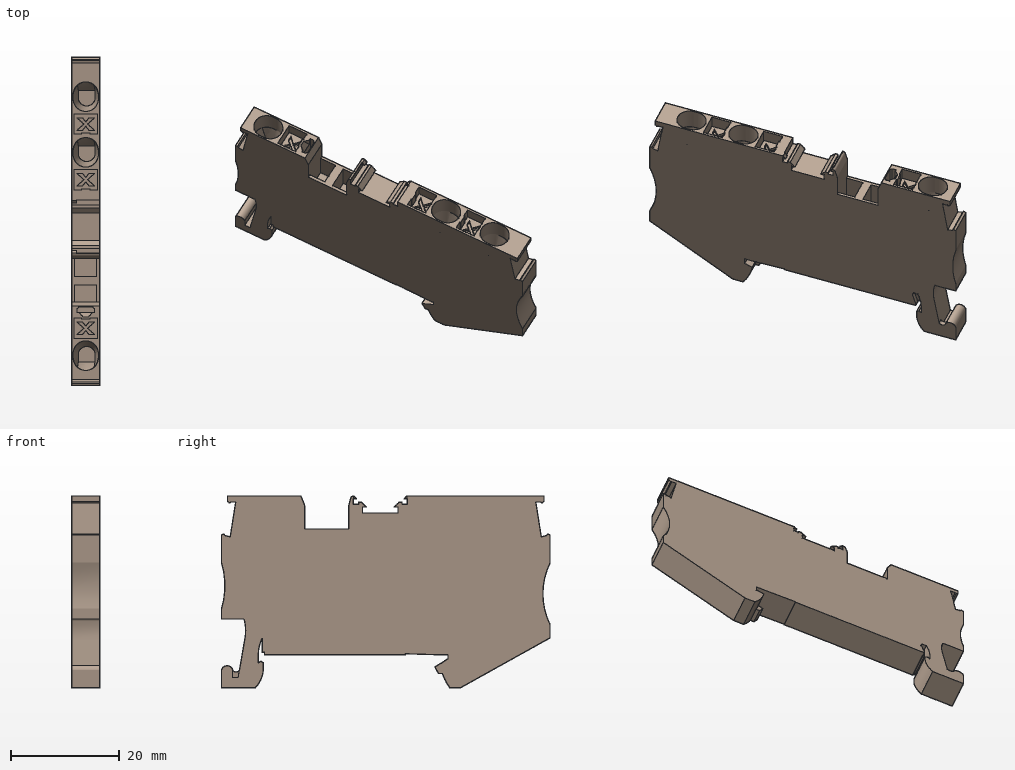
import cadquery as cq

THICKNESS = 5.15
LENGTH = 60.4
HEIGHT = 35.25
HALF_LENGTH = LENGTH / 2
NEAR_FACE = -THICKNESS / 2
SKIN = 0.9

LIP_END = 29.1
LIP_NIB = 28.7
LIP_INNER = 28.5
LIP_SIDE_BOTTOM = HEIGHT - 1.0
LIP_NIB_BOTTOM = HEIGHT - 1.3
LIP_BOTTOM = HEIGHT - 1.15
NECK_TOP = 27.6
NECK_BOTTOM = 28.6
SHOULDER_BOTTOM = 27.75
SHOULDER_GROOVE_END = 29.55
SHOULDER_GROOVE_TOP = 28.0
SHOULDER_NIB = 29.75
SHOULDER_NIB_TOP = 28.3
SHOULDER_END = 28.1

BACK_GRIP_TOP = 22.9
BACK_GRIP_BOTTOM = 11.65
BACK_GRIP_DEPTH = 1.3
FRONT_GRIP_TOP = 23.0
FRONT_GRIP_BOTTOM = 14.5
FRONT_GRIP_DEPTH = 0.62

CARRIER_CENTER = -1.0
CARRIER_FLOOR = 32.12
CARRIER_HALF = 3.25
LOWER_TIP = 2.53
LOWER_TIP_Z = 33.2
CREST_INNER = 3.45
CREST_Z = 34.1
GROOVE_INNER = 4.0
GROOVE_OUTER = 4.95
GROOVE_FLOOR = 33.75
UPPER_TIP = 4.35
UPPER_TIP_Z = 34.7
HOOK_TOP = 4.85

CHANNEL_BACK = -6.84
CHANNEL_FRONT = -14.86
CHANNEL_FLOOR = 29.2
CHANNEL_FLARE_Z = 33.45
CHANNEL_FLARE = 0.7
POST_ROUND_Y = -6.2
POST_ROUND_Z = 35.17
POST_SLOPE_Y = -6.42
POST_SLOPE_Z = 34.95

BACK_CORNER_Z = 9.15
FOOT_BACK = 13.76
FOOT_FRONT = 11.76
FOOT_MID_Y = 10.4
FOOT_MID_Z = 2.6
FOOT_NOSE_Y = 9.97
FOOT_NOSE_Z = 4.4
RAIL_STOP = 11.43
RAIL_STOP_BOTTOM = 4.9
RAIL_SEAT = 6.05
RELIEF_BACK = 9.5
RELIEF_FRONT = 3.6
RELIEF_RISE = 0.18
SEAT_FRONT = -22.3
SEAT_CHAMFER_Z = 6.5

SLOT_TOP = 9.1
SLOT_WALL = -22.7
SLOT_POCKET_Y = -21.65
SLOT_POCKET_Z = 8.65
SLOT_POCKET_CORNER = 0.2
LEG_INNER = -23.4
LEG_INNER_MID_Y = -23.2
LEG_INNER_MID_Z = 7.7
LEG_INNER_Z = 6.3
CLAW_TOP = 4.6
CLAW_NIB_Y = -22.95
CLAW_NIB_Z = 4.9
CLAW_TIP = -22.47
CLAW_SIDE_Z = 3.3
CLAW_MID_Y = -22.85
CLAW_MID_Z = 1.7
CLAW_BOTTOM = -23.97

LEVER_END_Z = 3.25
LEVER_MID_Z = 3.5
LEVER_CREST_Y = -29.35
LEVER_CREST_Z = 4.05
LEVER_VALLEY_FRONT = -28.2
LEVER_VALLEY_Y = -27.45
LEVER_VALLEY_Z = 2.92
LEVER_GROOVE_DEPTH = 1.0
LEG_FOOT_Y = -26.9
LEG_OUTER_Y = -25.95
LEG_OUTER_Z = 8.75
LEG_WAIST_Y = -25.77
LEG_WAIST_Z = 10.6
LEG_ROOT_Y = -26.1
FRONT_UNDERSIDE = 12.6
LEG_ROOT_DROP = 0.25

NOSE_TOP = 5.35
NOSE_TIP_Y = 9.02
NOSE_TIP_Z = 3.83
NOSE_BOTTOM_Y = 9.68

OPENING_PITCH = 10.22
BACK_ENTRY = 22.91
FRONT_ENTRY = -24.68
ENTRY_WIDTH = 4.64
ENTRY_LENGTH = 5.42
ENTRY_SHAFT_DEPTH = 4.0
ENTRY_FUNNEL_DEPTH = 3.5
ENTRY_FLOOR_WIDTH = 3.06
ENTRY_FLOOR_X = 0.17
ENTRY_FLOOR_OUTER = 1.17
ENTRY_FLOOR_SIDE = -0.5
ENTRY_FLOOR_INNER = -1.7

RELEASE_OFFSET = 5.03
RELEASE_WIDTH = 4.3
RELEASE_LENGTH = 3.72
RELEASE_DEPTH = 2.35
RELEASE_RIB_WIDTH = 1.5
RELEASE_RIB = 0.18
CROSS_HALF_WIDTH = 1.6
CROSS_HALF_LENGTH = 1.15
CROSS_ARM = 1.0
CROSS_WAIST_X = 0.35
CROSS_WAIST_Y = 0.4
CROSS_DEPTH = 0.5

BRIDGE_WIDTH = 4.06
BRIDGE_X = -0.04
BACK_BRIDGE_LENGTH = 3.25
FRONT_BRIDGE_LENGTH = 3.15
BRIDGE_DEPTH = 5.0

TEST_BACK = -15.7
TEST_SHOULDER = -16.75
TEST_FRONT = -17.55
TEST_HALF_WIDTH = 1.58
TEST_TIP_HALF_WIDTH = 0.5
TEST_CORNER = 0.35
TEST_DEPTH = 4.0
TEST_RAMP_DEPTH = 1.5


def end_wall_points(side):
    """Lip, neck and shoulder of one end, from the top down; side is +1 or -1 in Y."""
    points = [
        (LIP_END, HEIGHT),
        (LIP_END, LIP_SIDE_BOTTOM),
        (LIP_NIB, LIP_NIB_BOTTOM),
        (LIP_INNER, LIP_BOTTOM),
        (NECK_TOP, LIP_BOTTOM),
        (NECK_BOTTOM, SHOULDER_BOTTOM),
        (SHOULDER_GROOVE_END, SHOULDER_GROOVE_TOP),
        (SHOULDER_NIB, SHOULDER_NIB_TOP),
        (HALF_LENGTH, SHOULDER_END),
    ]
    return [(side * y, z) for y, z in points]


def hook_points(side):
    """One marker hook from its upper tip down to the recess floor; side is +1 or -1 in Y."""
    points = [
        (HOOK_TOP, HEIGHT),
        (UPPER_TIP, UPPER_TIP_Z),
        (GROOVE_OUTER, UPPER_TIP_Z),
        (GROOVE_OUTER, GROOVE_FLOOR),
        (GROOVE_INNER, GROOVE_FLOOR),
        (GROOVE_INNER, CREST_Z),
        (CREST_INNER, CREST_Z),
        (LOWER_TIP, LOWER_TIP_Z),
        (CARRIER_HALF, LOWER_TIP_Z),
        (CARRIER_HALF, CARRIER_FLOOR),
    ]
    return [(CARRIER_CENTER + side * y, z) for y, z in points]


def trace(path, points):
    """Continue an outline with straight lines through the points."""
    for point in points:
        path = path.lineTo(*point)
    return path


def prism(points, x_start, x_end):
    """Solid between two X positions from a closed polygon of (y, z) points."""
    plane = cq.Workplane("YZ").workplane(offset=x_start)
    return plane.polyline(points).close().extrude(x_end - x_start)


def trace_top(path):
    """Top edge from the back lip to the front lip: marker carrier and bridge channel."""
    path = trace(path, hook_points(1))
    path = trace(path, hook_points(-1)[::-1])
    path = path.threePointArc((POST_ROUND_Y, POST_ROUND_Z), (POST_SLOPE_Y, POST_SLOPE_Z))
    return trace(path, [
        (CHANNEL_BACK, CHANNEL_FLARE_Z),
        (CHANNEL_BACK, CHANNEL_FLOOR),
        (CHANNEL_FRONT, CHANNEL_FLOOR),
        (CHANNEL_FRONT, CHANNEL_FLARE_Z),
        (CHANNEL_FRONT - CHANNEL_FLARE, HEIGHT),
    ])


def trace_front(path):
    """Front end wall down to the underside above the leg."""
    path = trace(path, end_wall_points(-1))
    path = path.lineTo(-HALF_LENGTH, FRONT_GRIP_TOP)
    grip_middle = (FRONT_GRIP_TOP + FRONT_GRIP_BOTTOM) / 2
    path = path.threePointArc((FRONT_GRIP_DEPTH - HALF_LENGTH, grip_middle),
                              (-HALF_LENGTH, FRONT_GRIP_BOTTOM))
    return path.lineTo(-HALF_LENGTH, FRONT_UNDERSIDE)


def trace_leg(path):
    """Springy leg with its release lever and claw, up to the slot beside the rail seat."""
    path = path.lineTo(LEG_ROOT_Y, FRONT_UNDERSIDE)
    path = path.lineTo(LEG_ROOT_Y + LEG_ROOT_DROP / 2, FRONT_UNDERSIDE - LEG_ROOT_DROP)
    path = path.threePointArc((LEG_WAIST_Y, LEG_WAIST_Z), (LEG_OUTER_Y, LEG_OUTER_Z))
    path = path.lineTo(LEG_FOOT_Y, LEVER_END_Z)
    path = path.threePointArc((LEVER_VALLEY_Y, LEVER_VALLEY_Z), (LEVER_VALLEY_FRONT, LEVER_MID_Z))
    path = path.threePointArc((LEVER_CREST_Y, LEVER_CREST_Z), (-HALF_LENGTH, LEVER_END_Z))
    path = trace(path, [(-HALF_LENGTH, 0), (CLAW_BOTTOM, 0)])
    path = path.threePointArc((CLAW_MID_Y, CLAW_MID_Z), (CLAW_TIP, CLAW_SIDE_Z))
    path = trace(path, [
        (CLAW_TIP, CLAW_TOP),
        (CLAW_NIB_Y, CLAW_NIB_Z),
        (LEG_INNER, CLAW_TOP),
        (LEG_INNER, LEG_INNER_Z),
    ])
    return path.threePointArc((LEG_INNER_MID_Y, LEG_INNER_MID_Z), (SLOT_WALL, SLOT_TOP))


def trace_rail_side(path):
    """Rail seat with its shallow relief, then the fixed foot and the sloped underside."""
    path = trace(path, [
        (SLOT_WALL, SEAT_CHAMFER_Z),
        (SEAT_FRONT, SEAT_CHAMFER_Z),
        (SEAT_FRONT, RAIL_SEAT),
        (RELIEF_FRONT, RAIL_SEAT),
        (RELIEF_FRONT, RAIL_SEAT + RELIEF_RISE),
        (RELIEF_BACK, RAIL_SEAT),
        (RAIL_STOP, RAIL_SEAT),
        (RAIL_STOP, RAIL_STOP_BOTTOM),
        (FOOT_NOSE_Y, FOOT_NOSE_Z),
    ])
    path = path.threePointArc((FOOT_MID_Y, FOOT_MID_Z), (FOOT_FRONT, 0))
    return trace(path, [(FOOT_BACK, 0), (HALF_LENGTH, BACK_CORNER_Z)])


def trace_back(path):
    """Back end wall up to the shoulder."""
    path = path.lineTo(HALF_LENGTH, BACK_GRIP_BOTTOM)
    grip_middle = (BACK_GRIP_TOP + BACK_GRIP_BOTTOM) / 2
    path = path.threePointArc((HALF_LENGTH - BACK_GRIP_DEPTH, grip_middle),
                              (HALF_LENGTH, BACK_GRIP_TOP))
    return trace(path, end_wall_points(1)[:0:-1])


def make_body():
    """Full-thickness body."""
    path = cq.Workplane("YZ").workplane(offset=NEAR_FACE).moveTo(LIP_END, HEIGHT)
    for section in (trace_top, trace_front, trace_leg, trace_rail_side, trace_back):
        path = section(path)
    return path.close().extrude(THICKNESS)


def foot_nose():
    """Rail hook on the +X half of the foot."""
    points = [
        (RAIL_STOP, NOSE_TOP),
        (NOSE_TIP_Y, NOSE_TIP_Z),
        (NOSE_BOTTOM_Y, FOOT_MID_Z),
        (FOOT_BACK, FOOT_MID_Z),
        (FOOT_BACK, NOSE_TOP),
    ]
    return prism(points, 0, -NEAR_FACE)


def lever_groove():
    """Deeper part of the lever valley, its back wall continuing the leg face."""
    bottom = LEVER_VALLEY_Z - LEVER_GROOVE_DEPTH
    leg_lean = (LEG_OUTER_Y - LEG_FOOT_Y) / (LEG_OUTER_Z - LEVER_END_Z)
    bottom_y = LEG_FOOT_Y - leg_lean * (LEVER_END_Z - bottom)
    points = [
        (LEG_FOOT_Y, LEVER_END_Z),
        (LEVER_VALLEY_FRONT, LEVER_MID_Z),
        (LEVER_VALLEY_FRONT, bottom),
        (bottom_y, bottom),
    ]
    return prism(points, NEAR_FACE + SKIN, -NEAR_FACE)


def slot_pocket():
    """Shallow widening of the leg slot at the -X face."""
    points = [
        (SLOT_WALL, SLOT_TOP),
        (SLOT_POCKET_Y - SLOT_POCKET_CORNER, SLOT_TOP),
        (SLOT_POCKET_Y, SLOT_POCKET_Z),
        (SEAT_FRONT, SEAT_CHAMFER_Z),
        (SLOT_WALL, SEAT_CHAMFER_Z),
    ]
    return prism(points, NEAR_FACE, NEAR_FACE + SKIN)


def hook_relief(side):
    """Cut that leaves one upper hook tip standing only next to the -X face."""
    tip = CARRIER_CENTER + side * UPPER_TIP
    root = CARRIER_CENTER + side * GROOVE_OUTER
    points = [(tip, UPPER_TIP_Z), (root, UPPER_TIP_Z), (root, HEIGHT), (tip, HEIGHT)]
    return prism(points, NEAR_FACE + SKIN, -NEAR_FACE)


def wire_entry(center, side):
    """Oval shaft ending in a funnel to a D-shaped floor; side points to the nearer end."""
    half_width = ENTRY_WIDTH / 2
    straight = ENTRY_LENGTH / 2 - half_width
    shaft_bottom = HEIGHT - ENTRY_SHAFT_DEPTH
    floor_half = ENTRY_FLOOR_WIDTH / 2
    split_x = floor_half
    split_y = straight + (half_width ** 2 - split_x ** 2) ** 0.5

    def at(offset):
        return center + side * offset

    shaft = cq.Workplane("XY", origin=(0, center, shaft_bottom))
    shaft = shaft.slot2D(ENTRY_LENGTH, ENTRY_WIDTH, 90).extrude(ENTRY_SHAFT_DEPTH)
    mouth = (
        cq.Workplane("XY", origin=(0, 0, shaft_bottom))
        .moveTo(-half_width, at(-straight))
        .threePointArc((0, at(-ENTRY_LENGTH / 2)), (half_width, at(-straight)))
        .threePointArc((half_width, at(straight)), (split_x, at(split_y)))
        .threePointArc((0, at(ENTRY_LENGTH / 2)), (-split_x, at(split_y)))
        .threePointArc((-half_width, at(straight)), (-half_width, at(-straight)))
        .close()
    )
    floor = (
        cq.Workplane("XY", origin=(ENTRY_FLOOR_X, 0, shaft_bottom - ENTRY_FUNNEL_DEPTH))
        .moveTo(-floor_half, at(ENTRY_FLOOR_SIDE))
        .threePointArc((0, at(ENTRY_FLOOR_INNER)), (floor_half, at(ENTRY_FLOOR_SIDE)))
        .lineTo(floor_half, at(ENTRY_FLOOR_OUTER))
        .lineTo(-floor_half, at(ENTRY_FLOOR_OUTER))
        .close()
    )
    wires = [mouth.val(), floor.val()]
    return shaft.union(cq.Workplane(cq.Solid.makeLoft(wires, True)))


def cross_points():
    """Twelve-point X with flat arm ends, centered on the origin."""
    inner_x = CROSS_HALF_WIDTH - CROSS_ARM
    quadrant = [
        (CROSS_WAIST_X, 0),
        (CROSS_HALF_WIDTH, CROSS_HALF_LENGTH),
        (inner_x, CROSS_HALF_LENGTH),
        (0, CROSS_WAIST_Y),
    ]
    upper = quadrant + [(-x, y) for x, y in quadrant[2::-1]]
    return upper + [(x, -y) for x, y in upper[-2:0:-1]]


def release_pocket(center, side):
    """Square actuation pocket with a sunken cross in its floor and a rib on its inner wall."""
    floor = HEIGHT - RELEASE_DEPTH
    pocket = cq.Workplane("XY", origin=(0, center, floor)).rect(RELEASE_WIDTH, RELEASE_LENGTH)
    pocket = pocket.extrude(RELEASE_DEPTH)
    cross = cq.Workplane("XY", origin=(0, center, floor)).polyline(cross_points()).close()
    rib_y = center - side * (RELEASE_LENGTH - RELEASE_RIB) / 2
    rib = cq.Workplane("XY", origin=(0, rib_y, floor)).rect(RELEASE_RIB_WIDTH, RELEASE_RIB)
    return pocket.cut(rib.extrude(RELEASE_DEPTH)).union(cross.extrude(-CROSS_DEPTH))


def bridge_pocket(center, length):
    """Rectangular jumper pocket in the channel floor."""
    plane = cq.Workplane("XY", origin=(BRIDGE_X, center, CHANNEL_FLOOR))
    return plane.rect(BRIDGE_WIDTH, length).extrude(-BRIDGE_DEPTH)


def test_opening():
    """Test probe opening, narrowing toward the front over a ramp."""
    half_outline = [
        (TEST_HALF_WIDTH - TEST_CORNER, TEST_BACK),
        (TEST_HALF_WIDTH, TEST_BACK - TEST_CORNER),
        (TEST_HALF_WIDTH, TEST_SHOULDER),
        (TEST_HALF_WIDTH - TEST_CORNER, TEST_SHOULDER),
        (TEST_TIP_HALF_WIDTH, TEST_FRONT),
    ]
    outline = half_outline + [(-x, y) for x, y in half_outline[::-1]]
    plane = cq.Workplane("XY", origin=(0, 0, HEIGHT))
    shaft = plane.polyline(outline).close().extrude(-TEST_DEPTH)
    below_ramp = [
        (TEST_FRONT, HEIGHT),
        (TEST_SHOULDER, HEIGHT - TEST_RAMP_DEPTH),
        (TEST_SHOULDER, HEIGHT - TEST_DEPTH),
        (TEST_FRONT, HEIGHT - TEST_DEPTH),
    ]
    return shaft.cut(prism(below_ramp, -TEST_HALF_WIDTH, TEST_HALF_WIDTH))


result = make_body().union(foot_nose()).cut(slot_pocket()).cut(lever_groove())
for hook_side in (1, -1):
    result = result.cut(hook_relief(hook_side))

for entry_center, end_side in (
    (BACK_ENTRY, 1),
    (BACK_ENTRY - OPENING_PITCH, 1),
    (FRONT_ENTRY, -1),
):
    result = result.cut(wire_entry(entry_center, end_side))
    result = result.cut(release_pocket(entry_center - end_side * RELEASE_OFFSET, end_side))

result = result.cut(bridge_pocket(CHANNEL_BACK - BACK_BRIDGE_LENGTH / 2, BACK_BRIDGE_LENGTH))
result = result.cut(bridge_pocket(CHANNEL_FRONT + FRONT_BRIDGE_LENGTH / 2, FRONT_BRIDGE_LENGTH))
result = result.cut(test_opening())